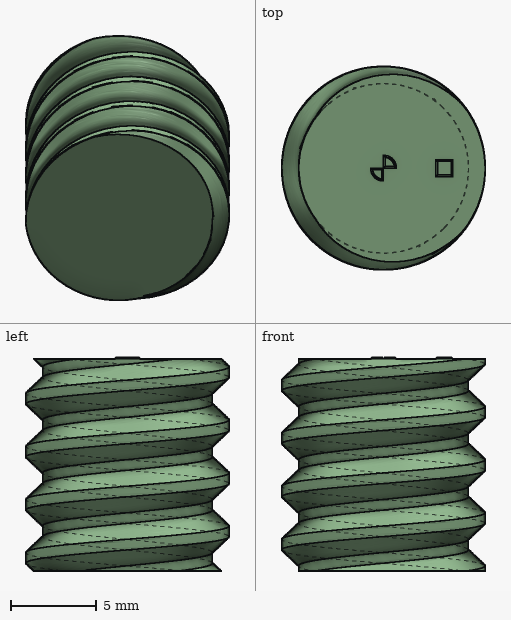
import cadquery as cq
import math

outer_radius = 6.0
root_radius = 5.0
turns = 4
pitch = 3.12
thread_length = turns * pitch

crest_share = 0.2
root_share = 0.2

flank_points = 24

mark_height = 0.1
mark_inset = 0.1
mark_taper = math.degrees(math.atan(mark_inset / mark_height))
sector_radius = 0.75
square_side = 1.0
square_offset = 3.58


def polar_point(radius, angle):
    return radius * math.cos(angle), radius * math.sin(angle)


def circle_arc(radius, start, end):
    """Arc about the thread axis."""
    angles = (start, (start + end) / 2, end)
    points = [cq.Vector(*polar_point(radius, angle)) for angle in angles]
    return cq.Edge.makeThreePointArc(*points)


def spiral(start_radius, start, end_radius, end):
    """Curve whose radius changes evenly with angle: a straight flank once twisted."""

    def point(share):
        radius = start_radius + share * (end_radius - start_radius)
        return polar_point(radius, start + share * (end - start))

    return cq.Workplane("XY").parametricCurve(point, N=flank_points, makeWire=False).val()


def thread_body():
    """Right-handed thread, a twisted cross-section with its crest on +X at both ends."""
    crest_end = math.pi * crest_share
    root_start = math.pi * (1 - root_share)
    root_end = math.pi * (1 + root_share)
    crest_start = -crest_end
    section = cq.Wire.assembleEdges([
        circle_arc(outer_radius, crest_start, crest_end),
        spiral(outer_radius, crest_end, root_radius, root_start),
        circle_arc(root_radius, root_start, root_end),
        spiral(root_radius, root_end, outer_radius, crest_start + 2 * math.pi),
    ])
    return cq.Workplane("XY").add(section).toPending().twistExtrude(thread_length, 360 * turns)


def sector_mark(direction):
    """Tapered quarter disc with its corner on the axis; direction is +1 or -1 in X and Y."""
    reach = direction * sector_radius
    middle = reach * math.sqrt(0.5)
    return (
        cq.Workplane("XY", origin=(0, 0, thread_length))
        .lineTo(reach, 0)
        .threePointArc((middle, middle), (0, reach))
        .close()
        .extrude(mark_height, taper=mark_taper)
    )


def square_mark():
    return (
        cq.Workplane("XY", origin=(square_offset, 0, thread_length))
        .rect(square_side, square_side)
        .extrude(mark_height, taper=mark_taper)
    )


result = thread_body().union(square_mark())
for direction in (1, -1):
    result = result.union(sector_mark(direction))